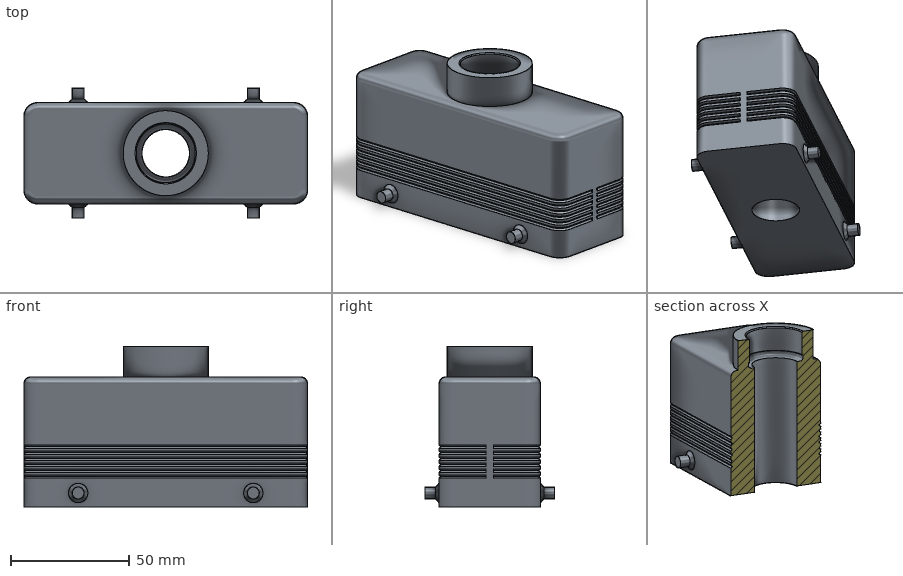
import cadquery as cq

body_length = 120.0
body_width = 43.0
body_height = 55.1
corner_radius = 6.0
top_edge_radius = 3.0

total_height = 68.0
collar_diameter = 36.0
collar_height = total_height - body_height

bore_diameter = 25.0
mouth_chamfer = 0.5
bore_depth = 10.5
relief_diameter = 25.9
relief_fillet = 1.5
passage_diameter = 20.0

groove_count = 6
groove_depth = 0.7
groove_pitch = 2.5
lowest_groove_z = 13.0
groove_gap = 3.1

pin_diameter = 5.0
pin_spacing = 74.0
pin_z = 6.0
pin_span = 55.0
pin_foot_height = 1.5
pin_foot_diameter = 8.2


def make_block():
    block = cq.Workplane("XY").box(body_length, body_width, body_height, centered=(True, True, False))
    return block.edges("|Z").fillet(corner_radius)


def make_body():
    return make_block().faces(">Z").edges().fillet(top_edge_radius)


def make_groove_ring(z):
    """Square bar, set on edge, that follows the body outline and is broken mid-way on both short sides."""
    outline = make_block().faces("<Z").wires().val().translate(cq.Vector(0, 0, z))
    start_plane = cq.Plane(origin=outline.startPoint(), normal=outline.tangentAt(0))
    bar_diagonal = 2 * groove_depth
    ring = cq.Workplane(start_plane).polygon(4, bar_diagonal).sweep(cq.Workplane(outline))
    ring_length = body_length + bar_diagonal
    gap = cq.Workplane("XY", origin=(0, 0, z)).box(ring_length, groove_gap, bar_diagonal)
    return ring.cut(gap)


def make_collar():
    return cq.Workplane("XY", origin=(0, 0, body_height)).circle(collar_diameter / 2).extrude(collar_height)


def make_entry():
    """Revolved cavity: chamfered bore, wider relief with a rounded floor, then the passage."""
    bore_radius = bore_diameter / 2
    relief_radius = relief_diameter / 2
    passage_radius = passage_diameter / 2
    bore_end_z = total_height - bore_depth
    return (
        cq.Workplane("XZ")
        .moveTo(0, 0)
        .lineTo(passage_radius, 0)
        .lineTo(passage_radius, body_height)
        .lineTo(relief_radius - relief_fillet, body_height)
        .radiusArc((relief_radius, body_height + relief_fillet), -relief_fillet)
        .lineTo(relief_radius, bore_end_z)
        .lineTo(bore_radius, bore_end_z)
        .lineTo(bore_radius, total_height - mouth_chamfer)
        .lineTo(bore_radius + mouth_chamfer, total_height)
        .lineTo(0, total_height)
        .close()
        .revolve(360, (0, 0, 0), (0, 1, 0))
    )


def make_pin_pair(x):
    """Two opposite pins, turned about an axis across the body, with conical feet on its long sides."""
    pin_radius = pin_diameter / 2
    foot_radius = pin_foot_diameter / 2
    wall_y = body_width / 2
    foot_end_y = wall_y + pin_foot_height
    tip_y = pin_span / 2
    pin = (
        cq.Workplane("XY")
        .polyline([
            (0, 0),
            (foot_radius, 0),
            (foot_radius, wall_y),
            (pin_radius, foot_end_y),
            (pin_radius, tip_y),
            (0, tip_y),
        ])
        .close()
        .revolve(360, (0, 0, 0), (0, 1, 0))
    )
    return pin.union(pin.mirror("XZ")).translate((x, 0, pin_z))


hood = make_body()
for index in range(groove_count):
    hood = hood.cut(make_groove_ring(lowest_groove_z + index * groove_pitch))
for pin_x in (-pin_spacing / 2, pin_spacing / 2):
    hood = hood.union(make_pin_pair(pin_x))

result = hood.union(make_collar()).cut(make_entry())